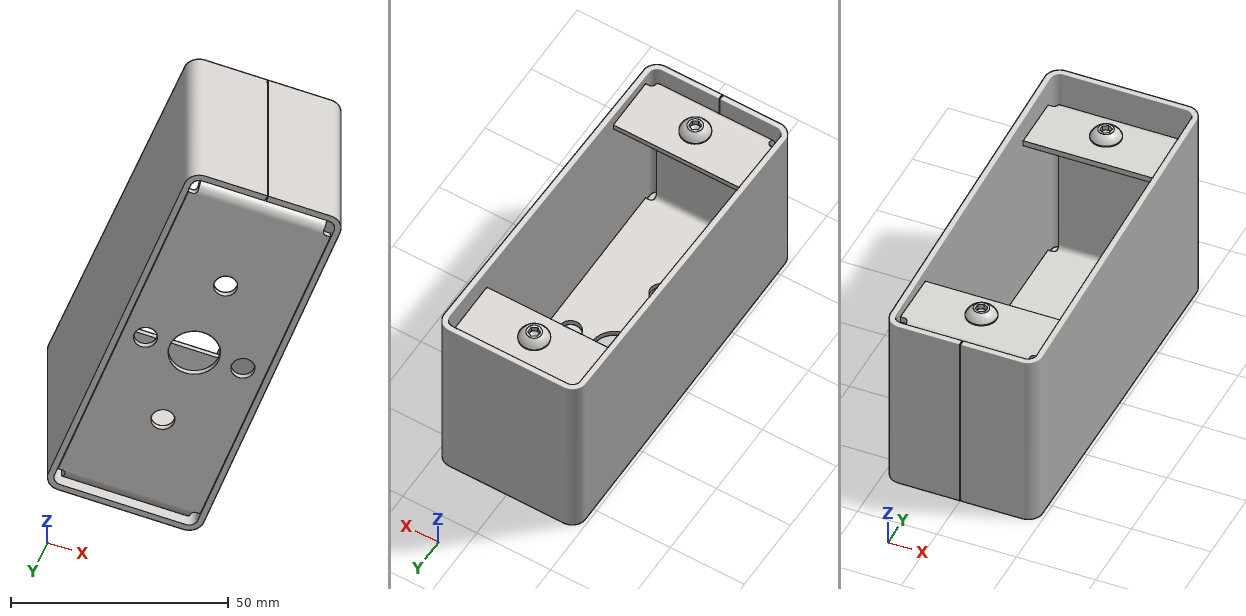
import cadquery as cq
import math

sheet = 1.5

bracket_width = 35.0
bracket_length = 89.0
bracket_height = 45.0
flange_length = 17.0
bend_inner_radius = 1.5
bend_outer_radius = bend_inner_radius + sheet
end_wall_width = 31.0
relief_fillet = 1.0

cable_hole_diameter = 12.0
mount_hole_diameter = 5.5
mount_hole_x = 12.0
mount_hole_y = 20.0

side_clearance = 0.15
end_clearance = 1.0
sleeve_width = bracket_width + 2 * (side_clearance + sheet)
sleeve_length = bracket_length + 2 * (end_clearance + sheet)
sleeve_height = 51.795
rim_angle = 3.0
rim_fillet = 0.1
sleeve_inner_radius = 2.15
seam_gap = 0.3

screw_y = 35.0
thread_diameter = 4.0
shank_length = 8.0
head_clearance = 1.5
head_diameter = 7.6
head_height = 2.2
head_rim_height = 0.3
head_flat_diameter = 3.8
socket_across_flats = 2.5
socket_depth = 1.3
socket_cone_angle = 120.0


def rounded_prism(width, length, height, corner_radius):
    """Upright block standing on Z = 0 with rounded vertical edges."""
    block = cq.Workplane("XY").box(width, length, height, centered=(True, True, False))
    return block.edges("|Z").fillet(corner_radius)


def rim_trimmer():
    """Everything above the sloped rim, which is highest at +Y."""
    half_length = sleeve_length / 2
    front_height = sleeve_height - sleeve_length * math.tan(math.radians(rim_angle))
    return (
        cq.Workplane("YZ")
        .moveTo(-half_length, front_height)
        .lineTo(half_length, sleeve_height)
        .lineTo(half_length, 2 * sleeve_height)
        .lineTo(-half_length, 2 * sleeve_height)
        .close()
        .extrude(sleeve_width / 2, both=True)
    )


def make_sleeve():
    outside = rounded_prism(sleeve_width, sleeve_length, sleeve_height, sleeve_inner_radius + sheet)
    inside = rounded_prism(
        sleeve_width - 2 * sheet, sleeve_length - 2 * sheet, sleeve_height, sleeve_inner_radius
    )
    band = outside.cut(inside).cut(rim_trimmer())
    band = band.faces(">Z").edges().fillet(rim_fillet)
    seam = (
        cq.Workplane("XY")
        .box(seam_gap, 2 * sheet, sleeve_height, centered=(True, True, False))
        .translate((0, -sleeve_length / 2, 0))
    )
    return band.cut(seam)


def bracket_strip():
    """The bent strip at full width, before reliefs and holes."""
    tube_outside = (
        cq.Workplane("XY")
        .box(bracket_width, bracket_length, bracket_height, centered=(True, True, False))
        .edges("|X")
        .fillet(bend_outer_radius)
    )
    tube_inside = (
        cq.Workplane("XY")
        .box(
            bracket_width,
            bracket_length - 2 * sheet,
            bracket_height - 2 * sheet,
            centered=(True, True, False),
        )
        .edges("|X")
        .fillet(bend_inner_radius)
        .translate((0, 0, sheet))
    )
    top_opening = (
        cq.Workplane("XY")
        .box(bracket_width, bracket_length - 2 * flange_length, 2 * sheet)
        .translate((0, 0, bracket_height))
    )
    return tube_outside.cut(tube_inside).cut(top_opening)


def bend_relief(x_side, y_side):
    """Corner notch that narrows an end wall and its bends, rounded where it meets the wall."""
    wall_x = end_wall_width / 2
    notch_y = bracket_length / 2 - bend_outer_radius
    notch = (
        cq.Workplane("XY")
        .box(bracket_width, bracket_length, bracket_height, centered=False)
        .edges("|Z and <X and <Y")
        .fillet(relief_fillet)
        .translate((wall_x, notch_y, 0))
    )
    if x_side < 0:
        notch = notch.mirror("YZ")
    if y_side < 0:
        notch = notch.mirror("XZ")
    return notch


def make_bracket():
    bracket = bracket_strip()
    for x_side in (-1, 1):
        for y_side in (-1, 1):
            bracket = bracket.cut(bend_relief(x_side, y_side))

    mount_points = [(mount_hole_x, 0), (-mount_hole_x, 0), (0, mount_hole_y), (0, -mount_hole_y)]
    floor_holes = (
        cq.Workplane("XY")
        .circle(cable_hole_diameter / 2)
        .extrude(sheet)
        .union(cq.Workplane("XY").pushPoints(mount_points).circle(mount_hole_diameter / 2).extrude(sheet))
    )
    screw_holes = (
        cq.Workplane("XY")
        .workplane(offset=bracket_height - sheet)
        .pushPoints([(0, screw_y), (0, -screw_y)])
        .circle(thread_diameter / 2)
        .extrude(sheet)
    )
    return bracket.cut(floor_holes).cut(screw_holes)


def make_screw(y):
    """Button head screw whose thread fills a flange hole, its head standing clear of the flange."""
    head_radius = head_diameter / 2
    flat_radius = head_flat_diameter / 2
    thread_radius = thread_diameter / 2

    dome_rise = head_height - head_rim_height
    dome_centre = head_rim_height + (flat_radius**2 + dome_rise**2 - head_radius**2) / (2 * dome_rise)
    dome_radius = math.hypot(head_radius, head_rim_height - dome_centre)
    middle_radius = (head_radius + flat_radius) / 2
    middle_height = dome_centre + math.sqrt(dome_radius**2 - middle_radius**2)

    body = (
        cq.Workplane("XZ")
        .moveTo(0, -shank_length)
        .lineTo(thread_radius, -shank_length)
        .lineTo(thread_radius, 0)
        .lineTo(head_radius, 0)
        .lineTo(head_radius, head_rim_height)
        .threePointArc((middle_radius, middle_height), (flat_radius, head_height))
        .lineTo(0, head_height)
        .close()
        .revolve(360, (0, 0, 0), (0, 1, 0))
    )

    socket_floor = head_height - socket_depth
    socket = (
        cq.Workplane("XY")
        .workplane(offset=socket_floor)
        .polygon(6, socket_across_flats, circumscribed=True)
        .extrude(socket_depth)
    )
    cone_radius = socket_across_flats / 2
    cone_depth = cone_radius / math.tan(math.radians(socket_cone_angle / 2))
    drill_point = cq.Workplane(
        cq.Solid.makeCone(0, cone_radius, cone_depth, pnt=cq.Vector(0, 0, socket_floor - cone_depth))
    )
    return body.cut(socket).cut(drill_point).translate((0, y, bracket_height + head_clearance))


sleeve = make_sleeve()
bracket = make_bracket()
screws = [make_screw(y) for y in (-screw_y, screw_y)]

result = cq.Compound.makeCompound([sleeve.val(), bracket.val(), *[screw.val() for screw in screws]])